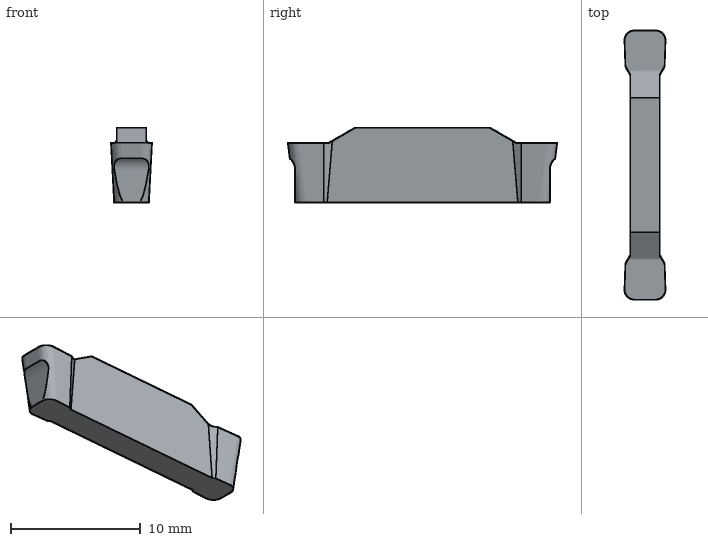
import cadquery as cq
import math

length = 20.78
head_width = 3.18
body_width = 2.3
total_height = 5.78
deck_height = 4.6
plateau_length = 10.4
ramp_angle = math.radians(30)
ramp_root_radius = 0.27

corner_radius = 0.8
side_length = 2.78
tip_relief = math.radians(7)
side_relief = math.radians(3)
back_taper = math.radians(2)
shoulder_angle = math.radians(30)
head_overrun = 0.42

tip_land = 1.18
clearance_drop = 2.05
clearance_foot = 0.06

tip = length / 2
body_half = body_width / 2
clearance_inset = (deck_height - clearance_foot) * math.tan(tip_relief)


def head_section(height):
    """Closed horizontal outline of the +Y head at the given height."""
    drop = deck_height - height
    tip_y = tip - drop * math.tan(tip_relief)
    half_width = head_width / 2 - drop * math.tan(side_relief)
    center_x = half_width - corner_radius
    center_y = tip_y - corner_radius

    def on_corner(angle):
        return (center_x + corner_radius * math.cos(angle), center_y + corner_radius * math.sin(angle))

    def mirrored(point):
        return (-point[0], point[1])

    corner_start = on_corner(math.pi / 2)
    corner_middle = on_corner(math.pi / 4)
    corner_end = on_corner(-back_taper)
    side_end_y = tip - side_length
    side_end_x = corner_end[0] - (corner_end[1] - side_end_y) * math.tan(back_taper)
    side_end = (side_end_x, side_end_y)
    shoulder_end = (body_half, side_end_y - (side_end_x - body_half) / math.tan(shoulder_angle))
    return (
        cq.Workplane("XY", origin=(0, 0, height))
        .moveTo(*mirrored(corner_start))
        .lineTo(*corner_start)
        .threePointArc(corner_middle, corner_end)
        .lineTo(*side_end)
        .lineTo(*shoulder_end)
        .lineTo(*mirrored(shoulder_end))
        .lineTo(*mirrored(side_end))
        .lineTo(*mirrored(corner_end))
        .threePointArc(mirrored(corner_middle), mirrored(corner_start))
        .close()
        .val()
    )


def make_head():
    sections = [head_section(0), head_section(deck_height + head_overrun)]
    return cq.Workplane(cq.Solid.makeLoft(sections, True))


def make_envelope():
    """Side profile with deck, ramps and plateau, extruded across the heads."""
    plateau_end = plateau_length / 2
    ramp_root = plateau_end + (total_height - deck_height) / math.tan(ramp_angle)
    tangent = ramp_root_radius * math.tan(ramp_angle / 2)
    fillet_deck = (ramp_root + tangent, deck_height)
    fillet_ramp = (
        ramp_root - tangent * math.cos(ramp_angle),
        deck_height + tangent * math.sin(ramp_angle),
    )
    fillet_middle = (
        fillet_deck[0] - ramp_root_radius * math.sin(ramp_angle / 2),
        deck_height + ramp_root_radius * (1 - math.cos(ramp_angle / 2)),
    )

    undercut_y = tip - tip_land * math.tan(tip_relief)
    clearance_y = tip - clearance_inset
    arc_depth = undercut_y - clearance_y
    arc_height = clearance_drop - tip_land
    arc_radius = (arc_depth**2 + arc_height**2) / (2 * arc_depth)
    half_sweep = math.asin(arc_height / arc_radius) / 2
    arc_bottom_z = deck_height - clearance_drop
    undercut_middle = (
        clearance_y + arc_radius * (1 - math.cos(half_sweep)),
        arc_bottom_z + arc_radius * math.sin(half_sweep),
    )

    half_profile = (
        cq.Workplane("YZ")
        .lineTo(clearance_y, 0)
        .lineTo(clearance_y, arc_bottom_z)
        .threePointArc(undercut_middle, (undercut_y, deck_height - tip_land))
        .lineTo(tip, deck_height)
        .lineTo(*fillet_deck)
        .threePointArc(fillet_middle, fillet_ramp)
        .lineTo(plateau_end, total_height)
        .lineTo(0, total_height)
        .close()
    )
    half = half_profile.extrude(head_width, both=True)
    return half.union(half.mirror("XZ"))


head = make_head()
body_length = length - 2 * side_length
body = cq.Workplane("XY").box(body_width, body_length, total_height, centered=(True, True, False))
blank = body.union(head).union(head.mirror("XZ"))
result = blank.intersect(make_envelope()).clean()